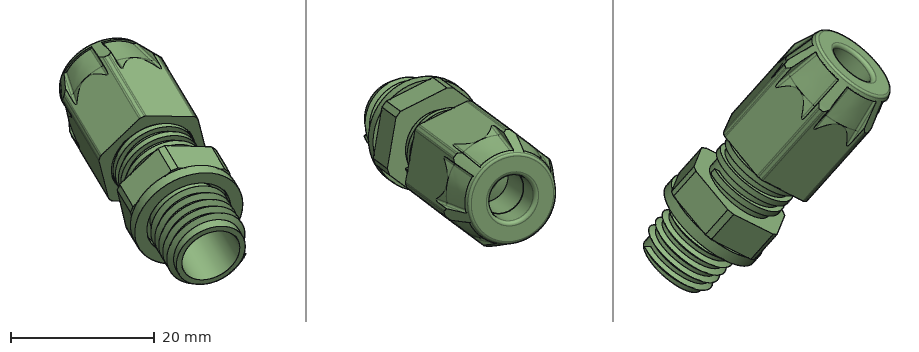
import cadquery as cq
import math

TILT_UP = 1.25
TILT_ASIDE = 0.42
NUT_PHASE = 10.4
BODY_PHASE = 9.6
SIDES = 6
SIDE_ANGLE = 360 / SIDES

NUT_LENGTH = 18.95
NUT_FLAT_RADIUS = 7.55
NUT_CORNER_RADIUS = 8.5
NUT_EDGE_ROUND = 0.5
NUT_FACE_RADIUS = 6.55
NUT_CONE_ANGLE = 20.4
NUT_FACE_ROUND = 0.45
NUT_BORE = 6.75
NUT_BORE_ROUND = 0.57
NUT_WALL = 3.95
THREAD_CLEARANCE = 12.55

OUTSIDE = 16.35
POCKET_START = 0.8
POCKET_START_RADIUS = 6.55
POCKET_BEND = 5.8
POCKET_END = 9.4
POCKET_END_RADIUS = 8.37
POCKET_ROUND = 0.33
POCKET_ANGLE = 47.0

BODY_END = 40.6
BODY_BORE = 8.65
SPIGOT_DIAMETER = 10.6
HEX_START = 25.6
HEX_END = 30.65
HEX_FLAT_RADIUS = 7.5
HEX_CORNER_RADIUS = 8.37
STUD_DIAMETER = 10.35

CAP_PITCH = 2.0
CAP_THREAD_DIAMETER = 12.25
CAP_THREAD_WIDTH = 0.9
CAP_THREAD_END = 24.5
CAP_TURNS = 8
CAP_END_ANGLE = 66.0
STUD_PITCH = 1.5
STUD_THREAD_DIAMETER = 12.0
STUD_THREAD_WIDTH = 1.0
STUD_THREAD_END = 39.78
STUD_TURNS = 5
STUD_END_ANGLE = 68.0
THREAD_SINK = 0.1

GASKET_DIAMETER = 16.17
GASKET_END = 32.3
SEAL_BORE = 6.6
SEAL_END = 14.7
PLUG_START = 9.0
PLUG_TIP_DIAMETER = 3.05
PLUG_DOME = 0.4


def cylinder(diameter, start, end):
    """Cylinder about the X axis."""
    return cq.Workplane("YZ", origin=(start, 0, 0)).circle(diameter / 2).extrude(end - start)


def hexagon(flat_radius, start, end, phase):
    """Hexagonal prism about the X axis with a flat in the direction `phase`."""
    corner_diameter = 2 * flat_radius / math.cos(math.radians(SIDE_ANGLE / 2))
    prism = cq.Workplane("YZ", origin=(start, 0, 0)).polygon(SIDES, corner_diameter).extrude(end - start)
    return prism.rotate((0, 0, 0), (1, 0, 0), phase + SIDE_ANGLE / 2)


def make_pocket():
    """Recess cut into the nose and one flat, centred on the +Y direction."""
    profile = [
        (POCKET_START, POCKET_START_RADIUS),
        (POCKET_BEND, NUT_FLAT_RADIUS),
        (POCKET_END, POCKET_END_RADIUS),
        (POCKET_END, OUTSIDE),
        (POCKET_START, OUTSIDE),
    ]
    sector = cq.Workplane("XY").polyline(profile).close().revolve(POCKET_ANGLE, (0, 0, 0), (1, 0, 0))
    pocket = sector.rotate((0, 0, 0), (1, 0, 0), -POCKET_ANGLE / 2)
    floor = cq.selectors.BoxSelector((POCKET_START, 0, -OUTSIDE), (POCKET_END, POCKET_END_RADIUS, OUTSIDE))
    return pocket.edges(floor).edges("%LINE").fillet(POCKET_ROUND)


def make_cap_nut():
    """Hexagonal nut with a tapered nose, grip pockets and a bored front wall."""
    corner_cut = hexagon(NUT_CORNER_RADIUS, 0, NUT_LENGTH, NUT_PHASE + SIDE_ANGLE / 2)
    nut = hexagon(NUT_FLAT_RADIUS, 0, NUT_LENGTH, NUT_PHASE).intersect(corner_cut)
    nut = nut.edges("|X").fillet(NUT_EDGE_ROUND)
    cone_length = (OUTSIDE - NUT_FACE_RADIUS) / math.tan(math.radians(NUT_CONE_ANGLE))
    nose = (
        cq.Workplane("XY")
        .polyline([(0, 0), (0, NUT_FACE_RADIUS), (cone_length, OUTSIDE), (cone_length, 0)])
        .close()
        .revolve(360, (0, 0, 0), (1, 0, 0))
        .faces("<X")
        .edges()
        .fillet(NUT_FACE_ROUND)
    )
    nut = nut.intersect(nose)
    pocket = make_pocket()
    for side in range(SIDES):
        nut = nut.cut(pocket.rotate((0, 0, 0), (1, 0, 0), NUT_PHASE + side * SIDE_ANGLE))
    nut = nut.cut(cylinder(NUT_BORE, 0, NUT_WALL))
    nut = nut.faces("<X").edges("%CIRCLE").edges(cq.selectors.RadiusNthSelector(0)).fillet(NUT_BORE_ROUND)
    return nut.cut(cylinder(THREAD_CLEARANCE, NUT_WALL, NUT_LENGTH))


def make_thread(core_diameter, crest, root_width, crest_width, pitch, turns, end, end_angle):
    """Right-hand thread ridge about the X axis whose last turn stops at `end` and `end_angle`."""
    length = pitch * (turns + end_angle / 360)
    root = core_diameter / 2 - THREAD_SINK
    path = cq.Workplane(cq.Wire.makeHelix(pitch, length, root))
    profile = [(root, -root_width / 2), (root, root_width / 2), (crest / 2, crest_width / 2)]
    if crest_width > 0:
        profile.append((crest / 2, -crest_width / 2))
    ridge = cq.Workplane("XZ").polyline(profile).close().sweep(path, isFrenet=True)
    return ridge.rotate((0, 0, 0), (0, 1, 0), 90).translate((end - length, 0, 0))


def make_body():
    """Hexagon with a threaded spigot for the nut, a threaded stud and a through bore."""
    corner_cut = hexagon(HEX_CORNER_RADIUS, HEX_START, HEX_END, BODY_PHASE + SIDE_ANGLE / 2)
    body = hexagon(HEX_FLAT_RADIUS, HEX_START, HEX_END, BODY_PHASE).intersect(corner_cut)
    body = body.union(cylinder(SPIGOT_DIAMETER, NUT_WALL, HEX_START))
    body = body.union(cylinder(STUD_DIAMETER, HEX_END, BODY_END))
    cap_thread = make_thread(
        SPIGOT_DIAMETER, CAP_THREAD_DIAMETER, CAP_THREAD_WIDTH, CAP_THREAD_WIDTH,
        CAP_PITCH, CAP_TURNS, CAP_THREAD_END, CAP_END_ANGLE,
    )
    stud_thread = make_thread(
        STUD_DIAMETER, STUD_THREAD_DIAMETER, STUD_THREAD_WIDTH, 0,
        STUD_PITCH, STUD_TURNS, STUD_THREAD_END, STUD_END_ANGLE,
    )
    body = body.union(cap_thread).union(stud_thread)
    return body.cut(cylinder(BODY_BORE, NUT_WALL, BODY_END))


def make_gasket():
    """Flat ring against the back of the body's hexagon."""
    bore = cylinder(THREAD_CLEARANCE, HEX_END, GASKET_END)
    return cylinder(GASKET_DIAMETER, HEX_END, GASKET_END).cut(bore)


def make_seal():
    """Sleeve that lines the body bore behind the nut's front wall."""
    bore = cylinder(SEAL_BORE, NUT_WALL, SEAL_END)
    return cylinder(BODY_BORE, NUT_WALL, SEAL_END).cut(bore)


def make_plug():
    """Plug filling the seal bore, with a shallow spherical dome around its flat tip."""
    tip = PLUG_TIP_DIAMETER / 2
    rim = SEAL_BORE / 2
    centre_depth = (rim ** 2 - tip ** 2 + PLUG_DOME ** 2) / (2 * PLUG_DOME)
    sphere_radius = math.hypot(centre_depth, tip)
    mid_radius = (tip + rim) / 2
    mid_x = PLUG_START + centre_depth - math.sqrt(sphere_radius ** 2 - mid_radius ** 2)
    return (
        cq.Workplane("XY")
        .moveTo(PLUG_START, 0)
        .lineTo(PLUG_START, tip)
        .threePointArc((mid_x, mid_radius), (PLUG_START + PLUG_DOME, rim))
        .lineTo(SEAL_END, rim)
        .lineTo(SEAL_END, 0)
        .close()
        .revolve(360, (0, 0, 0), (1, 0, 0))
    )


def tilt(body):
    """Turn a body from the X axis to the slightly tilted axis of the assembly."""
    raised = body.rotate((0, 0, 0), (0, 1, 0), -TILT_UP)
    return raised.rotate((0, 0, 0), (0, 0, 1), -TILT_ASIDE)


cap_nut = tilt(make_cap_nut())
gland_body = tilt(make_body())
gasket = tilt(make_gasket())
seal = tilt(make_seal())
plug = tilt(make_plug())

result = cq.Compound.makeCompound([
    cap_nut.val(),
    gland_body.val(),
    gasket.val(),
    seal.val(),
    plug.val(),
])